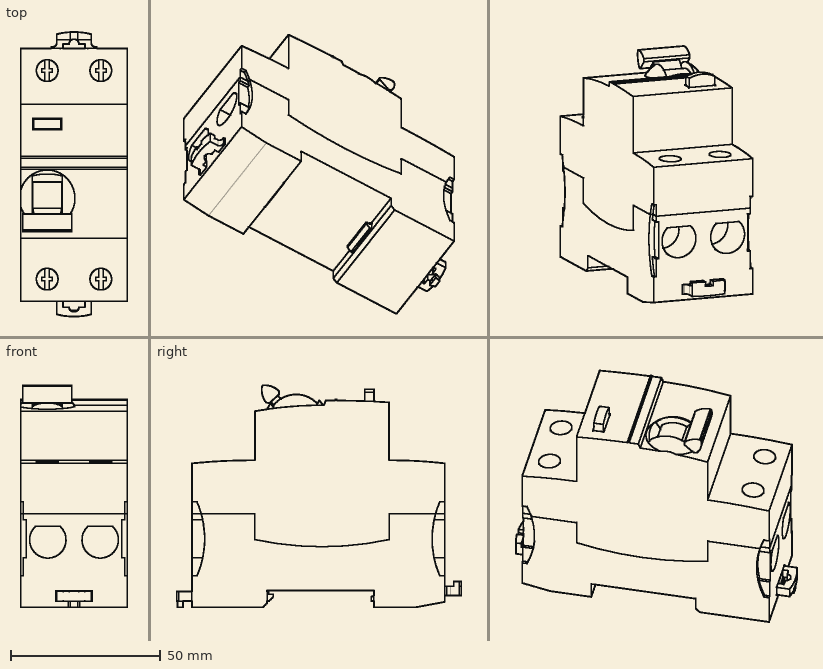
import cadquery as cq
import math

WIDTH = 35.8
LENGTH = 84.7
HALF_LENGTH = LENGTH / 2
POLE_X = 9.0

TOWER_BACK = 23.7
TOWER_FRONT = -21.3
TOWER_MIDDLE = (TOWER_BACK + TOWER_FRONT) / 2
TOWER_BACK_Z = 68.7
TOWER_TOP_Z = 69.4
STEP_TOP_Y = 2.5
STEP_FOOT_Y = 1.8
STEP_FOOT_Z = 67.7
TOWER_FRONT_Z = 65.7
SHOULDER_Z = 49.3
SHOULDER_END_Z = 48.3
PARTING_Z = 31.4
SKIRT_CORNER_Z = 22.7
SKIRT_MIDDLE_Z = 20.3

RIB_Y = 5.9
RIB_WIDTH = 0.6
RIB_HEIGHT = 0.3

HEEL_Y = 32.6
HEEL_RISE = 1.8
RAIL_BACK = 18.6
RAIL_FRONT = -17.2
RAIL_Z = 5.6
RAIL_CHAMFER = 1.4
NUB_BOTTOM = 2.1
NUB_TOP = 4.0
NUB_REACH = 1.0

GRIP_BOTTOM = 10.6
GRIP_TOP = 35.3
GRIP_END = 1.7
GRIP_MIDDLE = 4.3
GRIP_DEPTH = 1.0
DEEP_GRIP_BOTTOM = 16.7
DEEP_GRIP_TOP = 29.4
DEEP_GRIP_DEPTH = 1.9

TERMINAL_X = 8.8
TERMINAL_RADIUS = 6.1
TERMINAL_Z = 22.6
TERMINAL_FLAT_Z = 27.1
TERMINAL_DEPTH = 15.3
SCREW_Y = 34.9
SCREW_RADIUS = 3.6
SCREW_HEIGHT = 6.7
SLOT_WIDTH = 1.5
CROSS_LENGTH = 3.5
CROSS_WIDTH = 1.1
SLOT_DEPTH = 1.0

TOGGLE_X = -POLE_X
TOGGLE_Y = -7.4
PIVOT_Z = 61.7
DOME_RADIUS = 10.9
DOME_SLOT_WIDTH = 10.1
DOME_SLOT_BACK = 7.7
DOME_SLOT_FRONT = 8.5
DOME_SLOT_FLOOR = 3.2
DOME_SLOT_WALL_ANGLE = 60.0
HUB_RADIUS = 7.4
HUB_BACK = 5.0
HUB_WIDTH = 9.7
NECK_THICKNESS = 3.2
NECK_WIDTH = 9.35
LEVER_TILT = 42.0
HANDLE_BASE = 11.0
HANDLE_WIDEST = 11.8
HANDLE_CURVE = 14.6
HANDLE_TIP = 16.8
HANDLE_BASE_THICKNESS = 4.6
HANDLE_THICKNESS = 5.8
HANDLE_CURVE_THICKNESS = 4.3
HANDLE_TIP_THICKNESS = 0.7
HANDLE_WIDTH = 16.5

BUTTON_Y = 17.1
BUTTON_LENGTH = 9.1
BUTTON_WIDTH = 3.2
BUTTON_SIDE_Z = 72.0
BUTTON_CROWN = 1.05
BUTTON_SEAT_Z = 64.9
FIT_GAP = 0.3

CLIP_WIDTH = 11.6
CLIP_THICKNESS = 3.2
CLIP_CROWN = 0.8
KEYHOLE_WIDTH = 7.25
KEYHOLE_RADIUS = 1.6
FRONT_CLIP_REACH = 5.15
FRONT_CLIP_Z = 2.1
FRONT_KEYHOLE_DEPTH = 1.9
HOOK_TIP_Y = -15.1
HOOK_TOP_Z = 4.5
HOOK_STEP_Y = -16.6
PEG_FRONT_WIDTH = 2.7
PEG_BACK_WIDTH = 3.8
PEG_LENGTH = 1.9
PEG_SETBACK = 0.3
BACK_CLIP_REACH = 5.5
BACK_CLIP_Z = 3.9
BACK_KEYHOLE_DEPTH = 1.4
FOOT_WIDTH = 15.3
FOOT_THICKNESS = 0.6
FLARE_RADIUS = 1.2
LIP_LENGTH = 2.6
LIP_HEIGHT = 1.5
LIP_GAP = 2.7


def side_profile():
    """Sketch plane in which the first coordinate is Y and the second is Z."""
    return cq.Workplane("YZ")


def across(profile, width):
    """Extrude a closed side profile along X, equally to both sides."""
    return profile.extrude(width / 2, both=True)


def box(length_x, length_y, bottom, top, x=0.0, y=0.0):
    """Upright block centred on (x, y) between two heights."""
    block = cq.Workplane("XY").box(length_x, length_y, top - bottom, centered=(True, True, False))
    return block.translate((x, y, bottom))


def add_parting_line(profile):
    """Continue a profile along the joint, from the back parting edge to the front one."""
    return (
        profile.lineTo(TOWER_BACK, PARTING_Z)
        .lineTo(TOWER_BACK, SKIRT_CORNER_Z)
        .threePointArc((TOWER_MIDDLE, SKIRT_MIDDLE_Z), (TOWER_FRONT, SKIRT_CORNER_Z))
        .lineTo(TOWER_FRONT, PARTING_Z)
        .lineTo(-HALF_LENGTH, PARTING_Z)
    )


def crown_point(flat, low):
    """Middle point of a shallow arc that is level at `flat` and has fallen to `low` at its end."""
    return ((flat[0] + low[0]) / 2, flat[1] - (flat[1] - low[1]) / 4)


def cover_block():
    back_shoulder = (TOWER_BACK, SHOULDER_Z)
    back_end = (HALF_LENGTH, SHOULDER_END_Z)
    front_shoulder = (TOWER_FRONT, SHOULDER_Z)
    front_end = (-HALF_LENGTH, SHOULDER_END_Z)
    step_top = (STEP_TOP_Y, TOWER_TOP_Z)
    step_foot = (STEP_FOOT_Y, STEP_FOOT_Z)
    tower_back = (TOWER_BACK, TOWER_BACK_Z)
    tower_front = (TOWER_FRONT, TOWER_FRONT_Z)
    profile = add_parting_line(side_profile().moveTo(HALF_LENGTH, PARTING_Z))
    profile = (
        profile.lineTo(*front_end)
        .threePointArc(crown_point(front_shoulder, front_end), front_shoulder)
        .lineTo(*tower_front)
        .threePointArc(crown_point(step_foot, tower_front), step_foot)
        .lineTo(*step_top)
        .threePointArc(crown_point(step_top, tower_back), tower_back)
        .lineTo(*back_shoulder)
        .threePointArc(crown_point(back_shoulder, back_end), back_end)
        .close()
    )
    return across(profile, WIDTH)


def base_block():
    profile = add_parting_line(side_profile().moveTo(HALF_LENGTH, PARTING_Z))
    profile = (
        profile.lineTo(-HALF_LENGTH, 0)
        .lineTo(RAIL_FRONT - RAIL_CHAMFER, 0)
        .lineTo(RAIL_FRONT, RAIL_CHAMFER)
        .lineTo(RAIL_FRONT, RAIL_Z)
        .lineTo(RAIL_BACK, RAIL_Z)
        .lineTo(RAIL_BACK, 0)
        .lineTo(HEEL_Y, 0)
        .lineTo(HALF_LENGTH, HEEL_RISE)
        .close()
    )
    return across(profile, WIDTH)


def grip_recesses():
    """Lens-shaped recesses in both side walls at both ends, deeper over their middle."""
    recesses = cq.Workplane()
    levels = (
        (GRIP_BOTTOM, GRIP_TOP, GRIP_DEPTH),
        (DEEP_GRIP_BOTTOM, DEEP_GRIP_TOP, DEEP_GRIP_DEPTH),
    )
    for end in (-1, 1):
        lens = (
            side_profile()
            .moveTo(end * HALF_LENGTH, GRIP_BOTTOM)
            .lineTo(end * (HALF_LENGTH - GRIP_END), GRIP_BOTTOM)
            .threePointArc(
                (end * (HALF_LENGTH - GRIP_MIDDLE), (GRIP_BOTTOM + GRIP_TOP) / 2),
                (end * (HALF_LENGTH - GRIP_END), GRIP_TOP),
            )
            .lineTo(end * HALF_LENGTH, GRIP_TOP)
            .close()
        )
        lens = across(lens, WIDTH)
        for side in (-1, 1):
            for bottom, top, depth in levels:
                band = box(2 * depth, LENGTH, bottom, top, x=side * WIDTH / 2)
                recesses = recesses.add(lens.intersect(band))
    return recesses.combine()


def terminal_holes():
    """Round wire entries with a flat top, two in each end face."""
    holes = cq.Workplane()
    flat = box(WIDTH, LENGTH, 0, TERMINAL_FLAT_Z)
    for end in (-1, 1):
        for x in (-TERMINAL_X, TERMINAL_X):
            hole = (
                cq.Workplane("XZ", origin=(x, end * HALF_LENGTH, TERMINAL_Z))
                .circle(TERMINAL_RADIUS)
                .extrude(end * TERMINAL_DEPTH)
            )
            holes = holes.add(hole.intersect(flat))
    return holes.combine()


def screw_places():
    return [(x, y) for x in (-POLE_X, POLE_X) for y in (-SCREW_Y, SCREW_Y)]


def screw_holes():
    """Screw wells through both shoulders of the cover."""
    return (
        cq.Workplane("XY", origin=(0, 0, PARTING_Z))
        .pushPoints(screw_places())
        .circle(SCREW_RADIUS)
        .extrude(SHOULDER_Z - PARTING_Z)
    )


def dome():
    """Ball around the toggle, kept within the cover's side wall."""
    ball = cq.Workplane("XY").sphere(DOME_RADIUS).translate((TOGGLE_X, TOGGLE_Y, PIVOT_Z))
    return ball.intersect(box(WIDTH, LENGTH, PIVOT_Z, PIVOT_Z + DOME_RADIUS))


def dome_slot():
    """Slot for the toggle, with end walls that lean outwards."""
    slope = math.tan(math.radians(DOME_SLOT_WALL_ANGLE))

    def wall_distance(edge, height):
        edge_height = math.sqrt(DOME_RADIUS**2 - edge**2)
        return edge + (height - edge_height) / slope

    profile = (
        side_profile()
        .moveTo(wall_distance(DOME_SLOT_BACK, DOME_SLOT_FLOOR), DOME_SLOT_FLOOR)
        .lineTo(wall_distance(DOME_SLOT_BACK, DOME_RADIUS), DOME_RADIUS)
        .lineTo(-wall_distance(DOME_SLOT_FRONT, DOME_RADIUS), DOME_RADIUS)
        .lineTo(-wall_distance(DOME_SLOT_FRONT, DOME_SLOT_FLOOR), DOME_SLOT_FLOOR)
        .close()
    )
    return across(profile, DOME_SLOT_WIDTH).translate((TOGGLE_X, TOGGLE_Y, PIVOT_Z))


def button_well():
    return box(
        BUTTON_LENGTH + 2 * FIT_GAP,
        BUTTON_WIDTH + 2 * FIT_GAP,
        BUTTON_SEAT_Z,
        BUTTON_SIDE_Z,
        x=-POLE_X,
        y=BUTTON_Y,
    )


def make_cover():
    rib = box(WIDTH, RIB_WIDTH, SHOULDER_Z, TOWER_TOP_Z + RIB_HEIGHT, y=RIB_Y)
    cover = cover_block().union(rib).union(dome())
    cover = cover.cut(dome_slot()).cut(button_well())
    return cover.cut(screw_holes()).cut(grip_recesses())


def rail_nub():
    """Fixed catch on the back wall of the rail notch."""
    profile = (
        side_profile()
        .moveTo(RAIL_BACK, NUB_BOTTOM)
        .lineTo(RAIL_BACK - NUB_REACH, NUB_BOTTOM)
        .lineTo(RAIL_BACK - NUB_REACH, NUB_TOP - NUB_REACH / 2)
        .lineTo(RAIL_BACK, NUB_TOP)
        .close()
    )
    return across(profile, CLIP_WIDTH)


def front_clip_channel():
    """Guide for the sliding clip, open at the front face and at the rail notch."""
    length = HALF_LENGTH + RAIL_FRONT
    return box(
        CLIP_WIDTH + 2 * FIT_GAP,
        length,
        FRONT_CLIP_Z,
        FRONT_CLIP_Z + CLIP_THICKNESS + FIT_GAP,
        y=RAIL_FRONT - length / 2,
    )


def make_base():
    base = base_block().union(rail_nub())
    return base.cut(front_clip_channel()).cut(terminal_holes()).cut(grip_recesses())


def make_toggle():
    """Hub, neck and handle, drawn upright about the pivot; the lever is then tilted."""
    hub_arc_z = math.sqrt(HUB_RADIUS**2 - HUB_BACK**2)
    hub = (
        side_profile()
        .moveTo(HUB_BACK, DOME_SLOT_FLOOR)
        .lineTo(HUB_BACK, hub_arc_z)
        .threePointArc((0, HUB_RADIUS), (-HUB_BACK, hub_arc_z))
        .lineTo(-HUB_BACK, DOME_SLOT_FLOOR)
        .close()
    )
    neck = side_profile().rect(NECK_THICKNESS, HANDLE_BASE, centered=(True, False))
    handle = (
        side_profile()
        .moveTo(-HANDLE_BASE_THICKNESS / 2, HANDLE_BASE)
        .lineTo(HANDLE_BASE_THICKNESS / 2, HANDLE_BASE)
        .lineTo(HANDLE_THICKNESS / 2, HANDLE_WIDEST)
        .threePointArc(
            (HANDLE_CURVE_THICKNESS / 2, HANDLE_CURVE),
            (HANDLE_TIP_THICKNESS / 2, HANDLE_TIP),
        )
        .lineTo(-HANDLE_TIP_THICKNESS / 2, HANDLE_TIP)
        .threePointArc(
            (-HANDLE_CURVE_THICKNESS / 2, HANDLE_CURVE),
            (-HANDLE_THICKNESS / 2, HANDLE_WIDEST),
        )
        .close()
    )
    lever = across(neck, NECK_WIDTH).union(across(handle, HANDLE_WIDTH))
    lever = lever.rotate((0, 0, 0), (1, 0, 0), LEVER_TILT)
    toggle = across(hub, HUB_WIDTH).union(lever)
    below_floor = box(HANDLE_WIDTH, LENGTH, -HANDLE_TIP, DOME_SLOT_FLOOR)
    return toggle.cut(below_floor).translate((TOGGLE_X, TOGGLE_Y, PIVOT_Z))


def make_button():
    """Block with a crowned top."""
    half = BUTTON_LENGTH / 2
    profile = (
        cq.Workplane("XZ")
        .moveTo(-half, BUTTON_SEAT_Z)
        .lineTo(half, BUTTON_SEAT_Z)
        .lineTo(half, BUTTON_SIDE_Z)
        .threePointArc((0, BUTTON_SIDE_Z + BUTTON_CROWN), (-half, BUTTON_SIDE_Z))
        .close()
    )
    return profile.extrude(BUTTON_WIDTH / 2, both=True).translate((-POLE_X, BUTTON_Y, 0))


def make_screw(x, y):
    """Plain screw head with a full-width slot and a short cross slot."""
    top = PARTING_Z + SCREW_HEIGHT
    screw = cq.Workplane("XY", origin=(x, y, PARTING_Z)).circle(SCREW_RADIUS).extrude(SCREW_HEIGHT)
    slot = box(SLOT_WIDTH, 2 * SCREW_RADIUS, top - SLOT_DEPTH, top, x, y)
    cross = box(CROSS_LENGTH, CROSS_WIDTH, top - SLOT_DEPTH, top, x, y)
    return screw.cut(slot).cut(cross)


def clip_outline(reach):
    """Plan of a clip tab that starts on the X axis, points to +Y and has a bulged outer edge."""
    half = CLIP_WIDTH / 2
    return (
        cq.Workplane("XY")
        .moveTo(-half, 0)
        .lineTo(-half, reach - CLIP_CROWN)
        .threePointArc((0, reach), (half, reach - CLIP_CROWN))
        .lineTo(half, 0)
        .close()
    )


def keyhole(slot_depth, height):
    """Opening of a clip: a wide slot against the housing with a round notch beyond it."""
    slot = box(KEYHOLE_WIDTH, slot_depth, 0, height, y=slot_depth / 2)
    notch = cq.Workplane("XY").center(0, slot_depth).circle(KEYHOLE_RADIUS).extrude(height)
    return slot.union(notch.intersect(box(KEYHOLE_WIDTH, LENGTH, 0, height, y=LENGTH / 2)))


def make_front_clip():
    """Sliding clip: pull tab with a peg outside, bar through the base, hook under the rail."""
    top = FRONT_CLIP_Z + CLIP_THICKNESS
    tab = clip_outline(FRONT_CLIP_REACH).extrude(CLIP_THICKNESS)
    tab = tab.cut(keyhole(FRONT_KEYHOLE_DEPTH, CLIP_THICKNESS))
    tab = tab.rotate((0, 0, 0), (0, 0, 1), 180).translate((0, -HALF_LENGTH, FRONT_CLIP_Z))
    ramp_offset = RAIL_CHAMFER - RAIL_FRONT
    bar = (
        side_profile()
        .moveTo(-HALF_LENGTH, FRONT_CLIP_Z)
        .lineTo(FRONT_CLIP_Z - ramp_offset, FRONT_CLIP_Z)
        .lineTo(HOOK_TIP_Y, HOOK_TIP_Y + ramp_offset)
        .lineTo(HOOK_TIP_Y, HOOK_TOP_Z)
        .lineTo(HOOK_STEP_Y, HOOK_TOP_Z)
        .lineTo(HOOK_STEP_Y, top)
        .lineTo(-HALF_LENGTH, top)
        .close()
    )
    peg_front = FRONT_CLIP_REACH - PEG_SETBACK
    peg = (
        cq.Workplane("XY", origin=(0, -HALF_LENGTH, 0))
        .moveTo(-PEG_FRONT_WIDTH / 2, -peg_front)
        .lineTo(PEG_FRONT_WIDTH / 2, -peg_front)
        .lineTo(PEG_BACK_WIDTH / 2, PEG_LENGTH - peg_front)
        .lineTo(-PEG_BACK_WIDTH / 2, PEG_LENGTH - peg_front)
        .close()
        .extrude(FRONT_CLIP_Z)
    )
    return tab.union(across(bar, CLIP_WIDTH)).union(peg)


def make_back_clip():
    """Fixed clip: flared tab on the back face with a divided lip along its outer edge."""
    tab = clip_outline(BACK_CLIP_REACH).extrude(CLIP_THICKNESS)
    arc_inset = FLARE_RADIUS * (1 - math.sqrt(0.5))
    for side in (-1, 1):
        edge = side * CLIP_WIDTH / 2
        flare = (
            cq.Workplane("XY")
            .moveTo(0, 0)
            .lineTo(side * FOOT_WIDTH / 2, 0)
            .lineTo(side * FOOT_WIDTH / 2, FOOT_THICKNESS)
            .lineTo(edge + side * FLARE_RADIUS, FOOT_THICKNESS)
            .threePointArc(
                (edge + side * arc_inset, FOOT_THICKNESS + arc_inset),
                (edge, FOOT_THICKNESS + FLARE_RADIUS),
            )
            .lineTo(0, FOOT_THICKNESS + FLARE_RADIUS)
            .close()
            .extrude(CLIP_THICKNESS)
        )
        tab = tab.union(flare)
    tab = tab.cut(keyhole(BACK_KEYHOLE_DEPTH, CLIP_THICKNESS))
    lip_top = CLIP_THICKNESS + LIP_HEIGHT
    lip_strip = box(CLIP_WIDTH, LIP_LENGTH, CLIP_THICKNESS, lip_top, y=BACK_CLIP_REACH - LIP_LENGTH / 2)
    lip_gap = box(LIP_GAP, LENGTH, CLIP_THICKNESS, lip_top)
    lip = clip_outline(BACK_CLIP_REACH).extrude(lip_top).intersect(lip_strip).cut(lip_gap)
    return tab.union(lip).translate((0, HALF_LENGTH, BACK_CLIP_Z))


cover = make_cover()
base = make_base()
toggle = make_toggle()
button = make_button()
screws = [make_screw(x, y) for x, y in screw_places()]
front_clip = make_front_clip()
back_clip = make_back_clip()

result = cq.Compound.makeCompound(
    [
        cover.val(),
        base.val(),
        toggle.val(),
        button.val(),
        *[screw.val() for screw in screws],
        front_clip.val(),
        back_clip.val(),
    ]
)